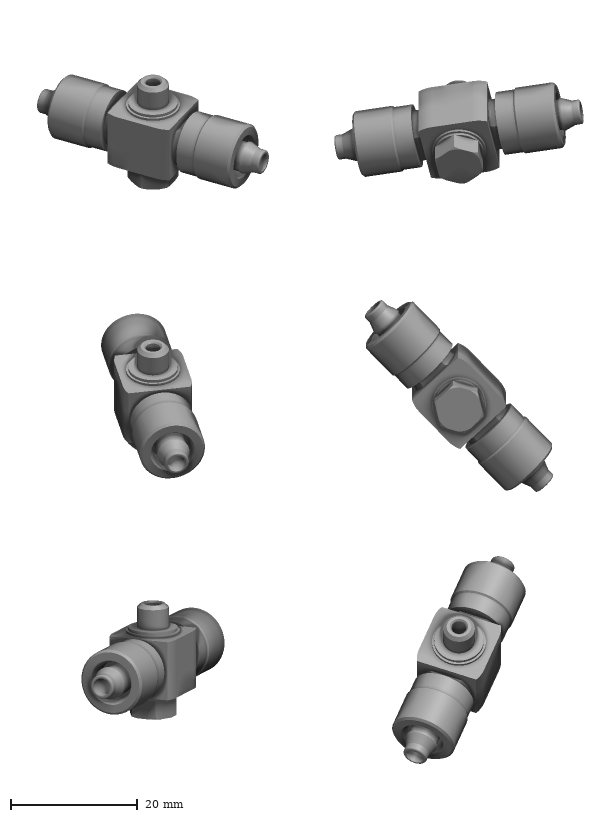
import cadquery as cq
import math


BLOCK_WIDTH = 11.0
BLOCK_HEIGHT = 9.4
BLOCK_FLAT_WIDTH = 6.7
BLOCK_END_WIDTH = 10.0

SPIGOT_DIA = 8.0
SPIGOT_ROOT_DIA = 8.27
ROOT_FLARE_X = 5.87
SPIGOT_END_X = 13.0
NECK_FLATS = 6.4
STEM_DIA = 4.8
BARB_DIA = 5.2
BARB_START_X = 16.5
BARB_CREST_X = 16.8
BARB_TIP_X = 18.45
TIP_DIA = 3.9
TIP_ROUND = 0.3
TIP_X = 19.7
FLOW_BORE_DIA = 2.9

NUT_DIA = 10.5
NUT_COLLAR_DIA = 10.0
NUT_REAR_X = 6.75
NUT_STEP_X = 9.65
NUT_FRONT_X = 16.2
NUT_FRONT_CHAMFER = 0.35
NUT_STEP_CHAMFER = 0.28
NUT_HOLE_DIA = 6.2
NUT_MOUTH_DIA = 7.17
NUT_CONE_DIA = 6.95
NUT_LIP_DEPTH = 0.1
NUT_CONE_DEPTH = 1.38

WASHER_DIA = 8.5
WASHER_STEP_DIA = 7.8
WASHER_BASE_THICKNESS = 0.4
WASHER_THICKNESS = 0.85

BOLT_DIA = 5.0
BOLT_WAIST_DIA = 4.3
BOLT_WAIST_LENGTH = 4.8
BOLT_TOP_Z = 9.38
BOLT_TIP_CHAMFER = 0.55
BOLT_BORE_DIA = 2.4
BOLT_COUNTERSINK_DIA = 2.9
BOLT_BORE_BOTTOM_Z = -1.58
DRILL_POINT_ANGLE = 118
CROSS_HOLE_DIA = 1.8
HEAD_FLATS = 6.97
HEAD_BOTTOM_Z = -8.63
HEAD_CHAMFER_DIA = 7.17
HEAD_CHAMFER_ANGLE = 30
HEX_SIDES = 6
HEX_HALF_SECTOR = 180 / HEX_SIDES

HALF_WIDTH = BLOCK_WIDTH / 2
HALF_HEIGHT = BLOCK_HEIGHT / 2


def cylinder_z(diameter, bottom, top):
    return cq.Workplane("XY").workplane(offset=bottom).circle(diameter / 2).extrude(top - bottom)


def cylinder_x(diameter, start, end):
    return cq.Workplane("YZ").workplane(offset=start).circle(diameter / 2).extrude(end - start)


def revolve_about_x(outline):
    return outline.close().revolve(360, (0, 0, 0), (1, 0, 0))


def revolve_about_z(outline):
    return outline.close().revolve(360, (0, 0, 0), (0, 1, 0))


def make_block():
    """Square block whose four vertical corners are arcs tangent to the Y faces."""
    flat_x = BLOCK_FLAT_WIDTH / 2
    end_y = BLOCK_END_WIDTH / 2
    run = HALF_WIDTH - flat_x
    drop = HALF_WIDTH - end_y
    radius = (run**2 + drop**2) / (2 * drop)
    half_sweep = math.asin(run / radius) / 2
    mid_x = flat_x + radius * math.sin(half_sweep)
    mid_y = HALF_WIDTH - radius * (1 - math.cos(half_sweep))
    return (
        cq.Workplane("XY")
        .workplane(offset=-HALF_HEIGHT)
        .moveTo(-flat_x, HALF_WIDTH)
        .lineTo(flat_x, HALF_WIDTH)
        .threePointArc((mid_x, mid_y), (HALF_WIDTH, end_y))
        .lineTo(HALF_WIDTH, -end_y)
        .threePointArc((mid_x, -mid_y), (flat_x, -HALF_WIDTH))
        .lineTo(-flat_x, -HALF_WIDTH)
        .threePointArc((-mid_x, -mid_y), (-HALF_WIDTH, -end_y))
        .lineTo(-HALF_WIDTH, end_y)
        .threePointArc((-mid_x, mid_y), (-flat_x, HALF_WIDTH))
        .close()
        .extrude(BLOCK_HEIGHT)
    )


def make_spigot():
    """Spigot on the +X side, with wrench flats on its neck and a hose barb at its end."""
    tip_radius = TIP_DIA / 2
    round_mid = TIP_ROUND * (1 - math.sqrt(0.5))
    spigot = revolve_about_x(
        cq.Workplane("XY")
        .moveTo(HALF_WIDTH, 0)
        .lineTo(HALF_WIDTH, SPIGOT_ROOT_DIA / 2)
        .lineTo(ROOT_FLARE_X, SPIGOT_DIA / 2)
        .lineTo(SPIGOT_END_X, SPIGOT_DIA / 2)
        .lineTo(SPIGOT_END_X, STEM_DIA / 2)
        .lineTo(BARB_START_X, STEM_DIA / 2)
        .lineTo(BARB_START_X, BARB_DIA / 2)
        .lineTo(BARB_CREST_X, BARB_DIA / 2)
        .lineTo(BARB_TIP_X, tip_radius)
        .lineTo(TIP_X - TIP_ROUND, tip_radius)
        .threePointArc((TIP_X - round_mid, tip_radius - round_mid), (TIP_X, tip_radius - TIP_ROUND))
        .lineTo(TIP_X, 0)
    )
    neck_length = NUT_REAR_X - HALF_WIDTH
    clearance_dia = 2 * SPIGOT_DIA
    neck_ring = cylinder_x(clearance_dia, HALF_WIDTH, NUT_REAR_X)
    flat_slab = cq.Workplane("XY").box(neck_length, clearance_dia, NECK_FLATS)
    flat_slab = flat_slab.translate((HALF_WIDTH + neck_length / 2, 0, 0))
    return spigot.cut(neck_ring.cut(flat_slab))


def make_housing():
    right_spigot = make_spigot()
    left_spigot = right_spigot.mirror("YZ")
    housing = make_block().union(right_spigot).union(left_spigot)
    flow_bore = cylinder_x(FLOW_BORE_DIA, -TIP_X, TIP_X)
    bolt_hole = cylinder_z(BOLT_DIA, -HALF_HEIGHT, HALF_HEIGHT)
    return housing.cut(flow_bore).cut(bolt_hole)


def make_nut():
    """Clamping nut on the +X spigot, with a chamfered conical mouth around the barb."""
    outer_radius = NUT_DIA / 2
    collar_radius = NUT_COLLAR_DIA / 2
    return revolve_about_x(
        cq.Workplane("XY")
        .moveTo(NUT_REAR_X, SPIGOT_DIA / 2)
        .lineTo(NUT_REAR_X, collar_radius)
        .lineTo(NUT_STEP_X, collar_radius)
        .lineTo(NUT_STEP_X + NUT_STEP_CHAMFER, outer_radius)
        .lineTo(NUT_FRONT_X - NUT_FRONT_CHAMFER, outer_radius)
        .lineTo(NUT_FRONT_X, outer_radius - NUT_FRONT_CHAMFER)
        .lineTo(NUT_FRONT_X, NUT_MOUTH_DIA / 2)
        .lineTo(NUT_FRONT_X - NUT_LIP_DEPTH, NUT_CONE_DIA / 2)
        .lineTo(NUT_FRONT_X - NUT_CONE_DEPTH, NUT_HOLE_DIA / 2)
        .lineTo(SPIGOT_END_X, NUT_HOLE_DIA / 2)
        .lineTo(SPIGOT_END_X, SPIGOT_DIA / 2)
    )


def make_washer():
    """Stepped washer on the top face of the block."""
    base_top = HALF_HEIGHT + WASHER_BASE_THICKNESS
    base = cylinder_z(WASHER_DIA, HALF_HEIGHT, base_top)
    step = cylinder_z(WASHER_STEP_DIA, base_top, HALF_HEIGHT + WASHER_THICKNESS)
    hole = cylinder_z(BOLT_DIA, HALF_HEIGHT, HALF_HEIGHT + WASHER_THICKNESS)
    return base.union(step).cut(hole)


def make_bolt_head(head_top):
    """Hexagon with two corners on the Y axis and a conical chamfer underneath."""
    corner_dia = HEAD_FLATS / math.cos(math.radians(HEX_HALF_SECTOR))
    hexagon = (
        cq.Workplane("XY")
        .workplane(offset=HEAD_BOTTOM_Z)
        .polygon(HEX_SIDES, corner_dia)
        .extrude(head_top - HEAD_BOTTOM_Z)
        .rotate((0, 0, 0), (0, 0, 1), HEX_HALF_SECTOR)
    )
    chamfer_slope = math.tan(math.radians(HEAD_CHAMFER_ANGLE))
    chamfer_height = (corner_dia - HEAD_CHAMFER_DIA) / 2 * chamfer_slope
    envelope = revolve_about_z(
        cq.Workplane("XZ")
        .moveTo(0, HEAD_BOTTOM_Z)
        .lineTo(HEAD_CHAMFER_DIA / 2, HEAD_BOTTOM_Z)
        .lineTo(corner_dia / 2, HEAD_BOTTOM_Z + chamfer_height)
        .lineTo(corner_dia / 2, head_top)
        .lineTo(0, head_top)
    )
    return hexagon.intersect(envelope)


def make_bolt_bore():
    """Blind drilled bore with a countersunk mouth and a drill point."""
    bore_radius = BOLT_BORE_DIA / 2
    countersink_radius = BOLT_COUNTERSINK_DIA / 2
    countersink_depth = countersink_radius - bore_radius
    point_length = bore_radius / math.tan(math.radians(DRILL_POINT_ANGLE / 2))
    return revolve_about_z(
        cq.Workplane("XZ")
        .moveTo(0, BOLT_TOP_Z)
        .lineTo(countersink_radius, BOLT_TOP_Z)
        .lineTo(bore_radius, BOLT_TOP_Z - countersink_depth)
        .lineTo(bore_radius, BOLT_BORE_BOTTOM_Z)
        .lineTo(0, BOLT_BORE_BOTTOM_Z - point_length)
    )


def make_bolt():
    head_top = -(HALF_HEIGHT + WASHER_THICKNESS)
    shank = cylinder_z(BOLT_DIA, head_top, BOLT_TOP_Z).faces(">Z").chamfer(BOLT_TIP_CHAMFER)
    waist_half = BOLT_WAIST_LENGTH / 2
    waist_ring = cylinder_z(BOLT_DIA, -waist_half, waist_half).cut(
        cylinder_z(BOLT_WAIST_DIA, -waist_half, waist_half)
    )
    cross_hole = cylinder_x(CROSS_HOLE_DIA, -BOLT_DIA / 2, BOLT_DIA / 2)
    bolt = shank.union(make_bolt_head(head_top))
    return bolt.cut(waist_ring).cut(make_bolt_bore()).cut(cross_hole)


housing = make_housing()
bolt = make_bolt()

nuts = []
washers = []
for flipped in (False, True):
    nut = make_nut()
    washer = make_washer()
    nuts.append(nut.mirror("YZ") if flipped else nut)
    washers.append(washer.mirror("XY") if flipped else washer)

bodies = [housing, bolt, *nuts, *washers]
result = cq.Compound.makeCompound([body.val() for body in bodies])